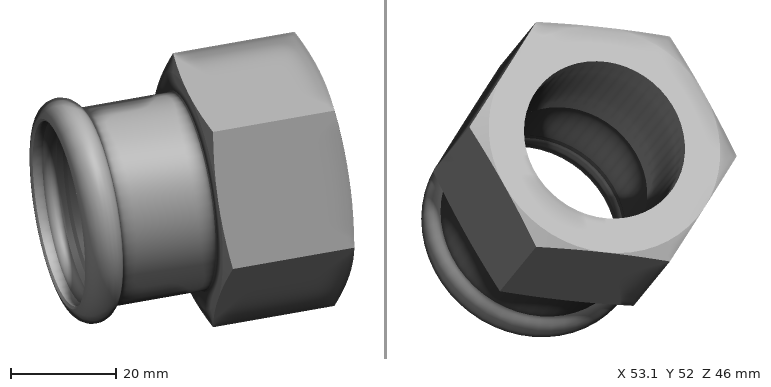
import cadquery as cq
import math

ACROSS_CORNERS = 53.1
ACROSS_FLATS = ACROSS_CORNERS * math.cos(math.radians(30))
TOTAL_LENGTH = 52.0
HEX_LENGTH = 26.05
CORNER_CHAMFER_HEIGHT = 0.95

TUBE_DIAMETER = 38.4
COLLAR_DIAMETER = 38.95
COLLAR_LENGTH = (COLLAR_DIAMETER - TUBE_DIAMETER) / 2
BEAD_DIAMETER = 43.6
BEAD_WIDTH = 7.55

THROUGH_DIAMETER = 32.0
STOP_CHAMFER = 0.4
SOCKET_DIAMETER = 35.4
SOCKET_DEPTH = 26.55
SOCKET_CONE_START = 6.5
SOCKET_CONE_END = 7.15
MOUTH_DIAMETER = 35.8
MOUTH_EDGE_DIAMETER = 36.85
MOUTH_CHAMFER_DEPTH = 0.4

SEAL_INNER_DIAMETER = 34.55
SEAL_WIDTH = 2.85

HEX_START = TOTAL_LENGTH - HEX_LENGTH


def revolve_y(profile):
    """Revolve a closed radius/length outline about the Y axis."""
    return profile.close().revolve(360, (0, 0, 0), (0, 1, 0))


def make_hexagon():
    """Hexagonal prism with its corners turned down to a cone at both ends."""
    prism = (
        cq.Workplane("XZ", origin=(0, TOTAL_LENGTH, 0))
        .polygon(6, ACROSS_CORNERS)
        .extrude(HEX_LENGTH)
    )
    corner_radius = ACROSS_CORNERS / 2
    face_radius = ACROSS_FLATS / 2
    turned_blank = revolve_y(
        cq.Workplane("XY")
        .moveTo(0, HEX_START)
        .lineTo(face_radius, HEX_START)
        .lineTo(corner_radius, HEX_START + CORNER_CHAMFER_HEIGHT)
        .lineTo(corner_radius, TOTAL_LENGTH - CORNER_CHAMFER_HEIGHT)
        .lineTo(face_radius, TOTAL_LENGTH)
        .lineTo(0, TOTAL_LENGTH)
    )
    return prism.intersect(turned_blank)


def make_tube():
    """Solid tube body with a round bead at the mouth and a beveled collar at the hexagon."""
    bead_radius = BEAD_WIDTH / 2
    bead_center = BEAD_DIAMETER / 2 - bead_radius
    bead = revolve_y(
        cq.Workplane("XY")
        .lineTo(bead_center, 0)
        .threePointArc((BEAD_DIAMETER / 2, bead_radius), (bead_center, BEAD_WIDTH))
        .lineTo(0, BEAD_WIDTH)
    )
    tube_base = cq.Workplane("XZ", origin=(0, HEX_START, 0))
    tube = tube_base.circle(TUBE_DIAMETER / 2).extrude(HEX_START - bead_radius)
    collar = revolve_y(
        cq.Workplane("XY")
        .moveTo(0, HEX_START)
        .lineTo(COLLAR_DIAMETER / 2, HEX_START)
        .lineTo(TUBE_DIAMETER / 2, HEX_START - COLLAR_LENGTH)
        .lineTo(0, HEX_START - COLLAR_LENGTH)
    )
    return tube.union(collar).union(bead)


def make_bore():
    """Mouth with its seal ring, tube socket and through bore as one turned shape."""
    through = THROUGH_DIAMETER / 2
    socket = SOCKET_DIAMETER / 2
    mouth = MOUTH_DIAMETER / 2
    seal_middle = BEAD_WIDTH / 2
    seal_start = seal_middle - SEAL_WIDTH / 2
    seal_end = seal_middle + SEAL_WIDTH / 2
    return revolve_y(
        cq.Workplane("XY")
        .lineTo(MOUTH_EDGE_DIAMETER / 2, 0)
        .lineTo(mouth, MOUTH_CHAMFER_DEPTH)
        .lineTo(mouth, seal_start)
        .threePointArc((SEAL_INNER_DIAMETER / 2, seal_middle), (mouth, seal_end))
        .lineTo(mouth, SOCKET_CONE_START)
        .lineTo(socket, SOCKET_CONE_END)
        .lineTo(socket, SOCKET_DEPTH)
        .lineTo(through + STOP_CHAMFER, SOCKET_DEPTH)
        .lineTo(through, SOCKET_DEPTH + STOP_CHAMFER)
        .lineTo(through, TOTAL_LENGTH)
        .lineTo(0, TOTAL_LENGTH)
    )


result = make_hexagon().union(make_tube()).cut(make_bore())